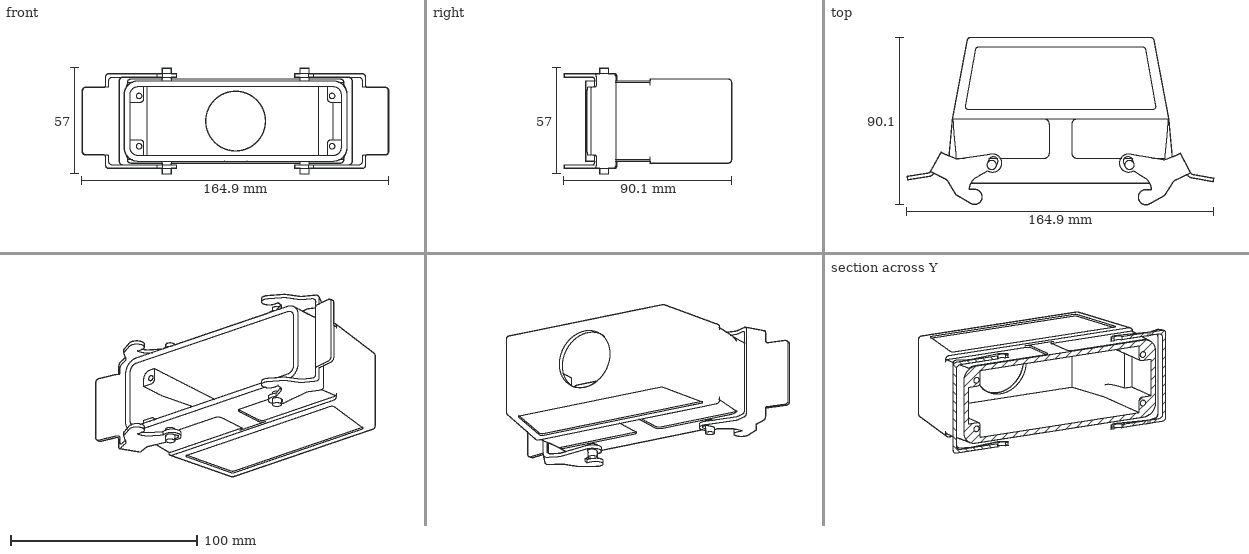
import cadquery as cq
import math

base_width = 120.0
base_height = 43.2
base_corner_radius = 7.5
wall = 3.1
straight_depth = 15.8

hood_start = 34.6
hood_back = 78.5
hood_height = 45.4
hood_front_width = 116.5
hood_back_width = 100.0
hood_edge_radius = 2.0
hood_front_corner_radius = 2.3

back_wall = 3.1
right_ledge = 33.0
left_wall_x = 2.8
right_wall_x = 6.1
cable_hole_diameter = 32.0

boss_width = 7.5
boss_height = 8.4
boss_corner_radius = 2.0
boss_front = 11.5
screw_hole_diameter = 3.0
screw_hole_inset = 5.0
screw_hole_depth = 16.5

recess_depth = 1.0
side_recess_front = 13.4
side_recess_gap = 12.2
side_recess_corner_radius = 2.8
panel_front = 39.8
panel_back = 73.3
panel_front_width = 103.0
panel_back_width = 91.0
panel_corner_radius = 1.5

pin_diameter = 5.0
pin_spacing = 74.0
pin_y = 9.9
pin_span = 57.0

sheet = 2.0
lever_height = 51.0
bend_radius = 2.0
inner_bend_radius = 2.0
notch_radius = 1.0
plate_lean = 29.0
plate_length = 11.9
plate_corner = (-27.2, 7.0)
ear_radius = 5.0
slot_travel = (0.8, 2.0)
ear_top = (-0.3, 5.8)
ear_bottom = (-2.1, -3.1)
arm_valley = (-18.8, 3.1)
arm_elbow = (-24.1, -8.1)
hook_elbow = (-19.3, -16.0)
outline_radius = 1.6
throat_x = -12.0
throat_middle = (-11.2, -9.9)
throat_end = (-9.2, -7.3)
inner_space_size = 99.0
hook_bottom_direction = 237.0
hook_centre = (-9.2, -17.2)
hook_radius = 4.1
handle_height = 36.5
handle_root_distance = 12.7
handle_slope = 9.0
handle_tip_x = -45.5
handle_corner_radius = 2.0
handle_bend_radius = 1.0
right_lever_swing = 1.3

hood_taper = (hood_front_width - hood_back_width) / 2 / (hood_back - hood_start)
pin_x = pin_spacing / 2
pin_tip_z = pin_span / 2
cavity_width = base_width - 2 * wall
cavity_height = base_height - 2 * wall
cavity_back = hood_back - back_wall


def rounded_sketch(width, height, radius):
    """Rounded rectangle, centred on its origin."""
    return cq.Sketch().rect(width, height).vertices().fillet(radius)


def rounded_block(width, height, radius, depth):
    """Rounded rectangle extruded from the rim plane towards +Y."""
    return cq.Workplane("XZ").placeSketch(rounded_sketch(width, height, radius)).extrude(-depth)


def hood_half_width(y):
    """Outer half width of the tapered hood."""
    return hood_front_width / 2 - (y - hood_start) * hood_taper


def trapezoid(y_front, y_back, front_width, back_width, height):
    """Prism along Z, symmetric about x = 0 and z = 0."""
    corners = [
        (-front_width / 2, y_front),
        (front_width / 2, y_front),
        (back_width / 2, y_back),
        (-back_width / 2, y_back),
    ]
    return cq.Workplane("XY").polyline(corners).close().extrude(height / 2, both=True)


def make_base():
    """Straight rim section, then a flare narrowing to the sharper-cornered hood joint."""
    straight = rounded_block(base_width, base_height, base_corner_radius, straight_depth)
    joint = rounded_sketch(hood_front_width, base_height, hood_front_corner_radius)
    joint_place = cq.Location(cq.Vector(0, 0, straight_depth - hood_start))
    flare = (
        cq.Workplane("XZ", origin=(0, straight_depth, 0))
        .placeSketch(
            rounded_sketch(base_width, base_height, base_corner_radius),
            joint.moved(joint_place),
        )
        .loft()
    )
    return straight.union(flare)


def make_hood():
    """Tapered box with rounded edges everywhere but at the joint with the base."""
    hood = trapezoid(hood_start, hood_back, hood_front_width, hood_back_width, hood_height)
    return hood.faces("not <Y").edges("not <Y").fillet(hood_edge_radius)


def make_cavity():
    """Pocket with rounded corners; its ends follow the taper of the hood."""
    left_back = hood_half_width(cavity_back) - left_wall_x
    right_back = hood_half_width(cavity_back) - right_wall_x
    left_start = cavity_back - (cavity_width / 2 - left_back) / hood_taper
    right_start_x = hood_half_width(right_ledge) - right_wall_x
    outline = [
        (-cavity_width / 2, 0),
        (cavity_width / 2, 0),
        (cavity_width / 2, right_ledge),
        (right_start_x, right_ledge),
        (right_back, cavity_back),
        (-left_back, cavity_back),
        (-cavity_width / 2, left_start),
    ]
    profile = cq.Workplane("XY").polyline(outline).close().extrude(cavity_height, both=True)
    cavity_radius = base_corner_radius - wall
    pocket = rounded_block(cavity_width, cavity_height, cavity_radius, cavity_back)
    return pocket.intersect(profile)


def boss_positions():
    """Side and level signs of the four cavity corners."""
    return [(side, level) for side in (-1, 1) for level in (-1, 1)]


def make_boss(side, level):
    """Corner post reaching from the boss front to the cavity floor."""
    inner_x = side * (cavity_width / 2 - boss_width)
    inner_z = level * (cavity_height / 2 - boss_height)
    post = (
        cq.Workplane("XZ", origin=(0, boss_front, 0))
        .center(side * cavity_width / 2, level * cavity_height / 2)
        .rect(2 * boss_width, 2 * boss_height)
        .extrude(boss_front - cavity_back)
    )
    free_edge = cq.selectors.NearestToPointSelector((inner_x, (boss_front + cavity_back) / 2, inner_z))
    return post.edges(free_edge).fillet(boss_corner_radius)


def make_screw_hole(side, level):
    """Blind hole drilled into the front of a boss."""
    x = side * (cavity_width / 2 - screw_hole_inset)
    z = level * (cavity_height / 2 - screw_hole_inset)
    return (
        cq.Workplane("XZ", origin=(x, boss_front, z))
        .circle(screw_hole_diameter / 2)
        .extrude(-screw_hole_depth)
    )


def make_panel_recess(level):
    """Trapezoidal recess in the upper (level 1) or lower (level -1) hood face."""
    recess = trapezoid(panel_front, panel_back, panel_front_width, panel_back_width, 2 * recess_depth)
    return recess.edges("|Z").fillet(panel_corner_radius).translate((0, 0, level * hood_height / 2))


def make_side_recess(side, level):
    """Rectangular recess in the base, open towards the end of the housing."""
    length = base_width / 2
    recess = cq.Workplane("XY").box(length, hood_start - side_recess_front, 2 * recess_depth)
    recess = recess.edges("|Z and <X").fillet(side_recess_corner_radius)
    if side < 0:
        recess = recess.mirror("YZ")
    return recess.translate((
        side * (side_recess_gap + length) / 2,
        (hood_start + side_recess_front) / 2,
        level * base_height / 2,
    ))


def make_pin(side, level):
    """Pivot pin standing on the upper or lower face of the base."""
    root_z = base_height / 2 - wall / 2
    return (
        cq.Workplane("XY", origin=(side * pin_x, pin_y, level * root_z))
        .circle(pin_diameter / 2)
        .extrude(level * (pin_tip_z - root_z))
    )


def make_housing():
    """Base, hood and pivot pins as one body, hollowed from the opening."""
    cavity = make_cavity()
    for side, level in boss_positions():
        cavity = cavity.cut(make_boss(side, level))
    base = make_base()
    for side, level in boss_positions():
        base = base.cut(make_side_recess(side, level))
    hood = make_hood()
    for level in (-1, 1):
        hood = hood.cut(make_panel_recess(level))
    housing = base.union(hood).cut(cavity)
    for side, level in boss_positions():
        housing = housing.cut(make_screw_hole(side, level)).union(make_pin(side, level))
    cable_hole = (
        cq.Workplane("XZ", origin=(0, hood_back, 0))
        .circle(cable_hole_diameter / 2)
        .extrude(2 * back_wall)
    )
    return housing.cut(cable_hole)


def shifted(point, direction, distance):
    """Point moved along a direction given in degrees from the +X axis."""
    angle = math.radians(direction)
    return (point[0] + distance * math.cos(angle), point[1] + distance * math.sin(angle))


plate_direction = 270.0 - plate_lean
across_plate = 360.0 - plate_lean
handle_direction = 180.0 + handle_slope
plate_foot = shifted(plate_corner, plate_direction, plate_length)
plate_inner_corner = shifted(plate_corner, across_plate, sheet)
plate_inner_foot = shifted(plate_foot, across_plate, sheet)


def make_lever_side():
    """Full-height solid with the side outline of the ears: pivot end, arm and hook."""
    hook_x, hook_y = hook_centre
    hook_bottom = shifted(hook_centre, hook_bottom_direction, hook_radius)
    arm = (
        cq.Workplane("XY")
        .moveTo(*ear_top)
        .lineTo(*arm_valley)
        .lineTo(*plate_inner_corner)
        .lineTo(*plate_corner)
        .lineTo(*plate_foot)
        .lineTo(*plate_inner_foot)
        .lineTo(*arm_elbow)
        .lineTo(*hook_elbow)
        .lineTo(*hook_bottom)
        .threePointArc((hook_x + hook_radius, hook_y), (hook_x, hook_y + hook_radius))
        .lineTo(throat_x, hook_y + hook_radius)
        .threePointArc(throat_middle, throat_end)
        .lineTo(*ear_bottom)
        .close()
        .extrude(lever_height / 2, both=True)
    )
    for corner in (arm_valley, arm_elbow, hook_elbow):
        arm = arm.edges(cq.selectors.NearestToPointSelector((*corner, 0))).fillet(outline_radius)
    ear = (
        cq.Workplane("XY")
        .center(slot_travel[0] / 2, slot_travel[1] / 2)
        .circle(ear_radius)
        .extrude(lever_height / 2, both=True)
    )
    return arm.union(ear)


def make_inner_space():
    """Space between the two ears, on the inner side of the end plate."""
    block = cq.Workplane("XY").box(
        inner_space_size, inner_space_size, lever_height - 2 * sheet, centered=(False, True, True)
    )
    block = block.edges("|Y and <X").fillet(inner_bend_radius)
    return block.rotate((0, 0, 0), (0, 0, 1), across_plate).translate((*plate_inner_corner, 0))


def make_handle():
    """Flat grip bent outward from the foot of the end plate."""
    root = shifted(plate_corner, plate_direction, handle_root_distance)
    tip_length = (root[0] - handle_tip_x) / math.cos(math.radians(handle_slope))
    tip_top = shifted(root, handle_direction, tip_length)
    tip_bottom = shifted(tip_top, handle_direction + 90, sheet)
    half_bend = math.radians(plate_direction - handle_direction) / 2
    inner_root = shifted(root, across_plate, sheet)
    bend = shifted(inner_root, plate_direction, sheet * math.tan(half_bend))
    handle = (
        cq.Workplane("XY")
        .polyline([plate_foot, root, tip_top, tip_bottom, bend, plate_inner_foot])
        .close()
        .extrude(handle_height / 2, both=True)
    )
    handle = handle.edges(cq.selectors.NearestToPointSelector((*bend, 0))).fillet(handle_bend_radius + sheet)
    handle = handle.edges(cq.selectors.NearestToPointSelector((*root, 0))).fillet(handle_bend_radius)
    tip_middle_x = (tip_top[0] + tip_bottom[0]) / 2
    tip_middle_y = (tip_top[1] + tip_bottom[1]) / 2
    for level in (-1, 1):
        corner = (tip_middle_x, tip_middle_y, level * handle_height / 2)
        handle = handle.edges(cq.selectors.NearestToPointSelector(corner)).fillet(handle_corner_radius)
    return handle


def make_lever():
    """Left-hand lever with its pivot pin axis at the origin."""
    lever = make_lever_side()
    plate_middle = shifted(plate_corner, plate_direction, plate_length / 2)
    for level in (-1, 1):
        corner = (*plate_middle, level * lever_height / 2)
        lever = lever.edges(cq.selectors.NearestToPointSelector(corner)).fillet(bend_radius)
    lever = lever.cut(make_inner_space()).union(make_handle())
    notch = ((plate_foot[0] + plate_inner_foot[0]) / 2, (plate_foot[1] + plate_inner_foot[1]) / 2)
    for level in (-1, 1):
        corner = (*notch, level * handle_height / 2)
        lever = lever.edges(cq.selectors.NearestToPointSelector(corner)).fillet(notch_radius)
    slot_length = math.hypot(*slot_travel) + pin_diameter
    slot_angle = math.degrees(math.atan2(slot_travel[1], slot_travel[0]))
    slot = (
        cq.Workplane("XY")
        .center(slot_travel[0] / 2, slot_travel[1] / 2)
        .slot2D(slot_length, pin_diameter, slot_angle)
        .extrude(lever_height, both=True)
    )
    return lever.cut(slot)


housing = make_housing()
lever = make_lever()
left_lever = lever.translate((-pin_x, pin_y, 0))
right_lever = (
    lever.mirror("YZ")
    .rotate((0, 0, 0), (0, 0, 1), -right_lever_swing)
    .translate((pin_x, pin_y, 0))
)

result = cq.Compound.makeCompound([housing.val(), left_lever.val(), right_lever.val()])